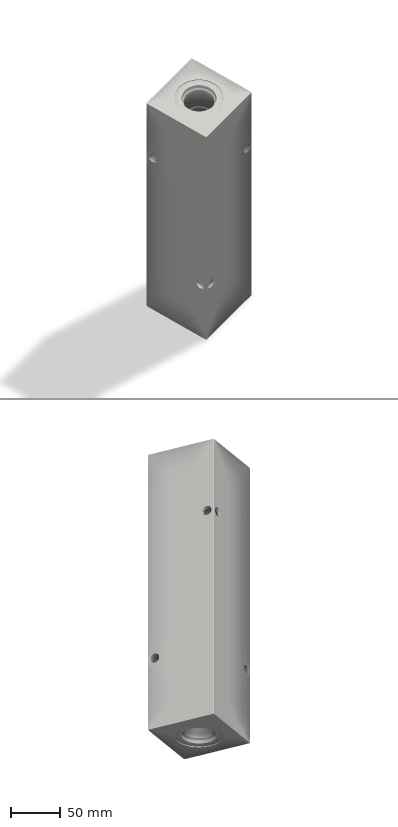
import cadquery as cq
import math

height = 311.0
width = 76.2
edge_chamfer = 0.3

bore_diameter = 28.0
seat_diameter = 35.5
seat_depth = 3.5
seat_angle = 12.0
thread_diameter = 31.0
thread_depth = 31.0
spotface_diameter = 49.2
spotface_depth = 1.0

cross_hole_diameter = 10.3
cross_hole_offset = 30.2
cross_hole_height = 76.2


def cross_holes(plane, direction):
    """Two through holes, diagonally opposite; direction is the side of the upper one."""
    upper = (direction * cross_hole_offset, cross_hole_height)
    lower = (-direction * cross_hole_offset, -cross_hole_height)
    return (
        cq.Workplane(plane)
        .pushPoints([upper, lower])
        .circle(cross_hole_diameter / 2)
        .extrude(width, both=True)
    )


def port():
    """Stepped port in the top face: spotface, steep seal seat, 45 degree lead-in, thread bore."""
    spotface_radius = spotface_diameter / 2
    thread_radius = thread_diameter / 2
    seat_top_radius = seat_diameter / 2
    seat_bottom_radius = seat_top_radius - seat_depth * math.tan(math.radians(seat_angle))

    top = height / 2
    seat_top = top - spotface_depth
    seat_bottom = seat_top - seat_depth
    thread_top = seat_bottom - (seat_bottom_radius - thread_radius)
    thread_bottom = top - thread_depth

    half_section = [
        (0, top),
        (spotface_radius, top),
        (spotface_radius, seat_top),
        (seat_top_radius, seat_top),
        (seat_bottom_radius, seat_bottom),
        (thread_radius, thread_top),
        (thread_radius, thread_bottom),
        (0, thread_bottom),
    ]
    return cq.Workplane("XZ").polyline(half_section).close().revolve(360, (0, 0), (0, 1))


block = cq.Workplane("XY").box(width, width, height).edges("|Z").chamfer(edge_chamfer)
bore = cq.Workplane("XY").circle(bore_diameter / 2).extrude(height / 2, both=True)
top_port = port()
bottom_port = top_port.mirror("XY")

result = block.cut(bore).cut(top_port).cut(bottom_port)
result = result.cut(cross_holes("XZ", -1)).cut(cross_holes("YZ", 1))